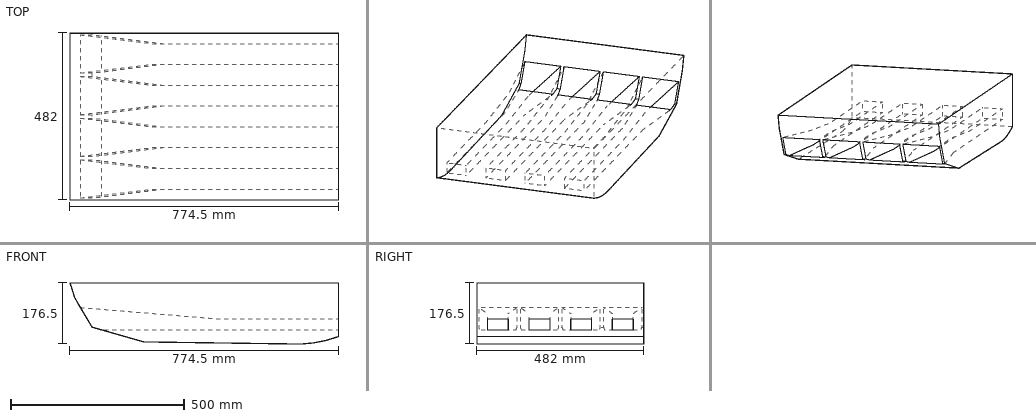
import cadquery as cq

length = 774.5
width = 482.0
height = 176.5
nose_break = (13.0, -42.5)
nose_corner = (63.5, -128.0)
belly_start = (213.0, -170.5)
belly_low = (666.0, -height)
rear_curve_middle = (723.0, -170.0)
rear_height = 155.0

passage_count = 4
passage_pitch = 120.0
mouth_width = 110.0
throat_width = 60.0
taper_depth = 170.5
mouth_roof_z = -71.0
throat_roof_z = -104.5
roof_end_x = 434.0
floor_z = -135.5

face_run = nose_corner[0] - nose_break[0]
face_drop = nose_break[1] - nose_corner[1]
down_face = cq.Vector(face_run, 0, -face_drop)
into_face = cq.Vector(face_drop, 0, face_run)


def make_body():
    profile = (
        cq.Workplane("XZ", origin=(0, width / 2, 0))
        .moveTo(0, 0)
        .lineTo(*nose_break)
        .lineTo(*nose_corner)
        .lineTo(*belly_start)
        .lineTo(*belly_low)
        .threePointArc(rear_curve_middle, (length, -rear_height))
        .lineTo(length, 0)
        .close()
    )
    return profile.extrude(width)


def make_passage(center_y):
    """Intersect the tapering side walls with the roof and floor outline of one passage."""
    half_mouth = mouth_width / 2
    half_throat = throat_width / 2
    wall_plane = cq.Plane(
        origin=(nose_break[0], center_y, nose_break[1]),
        xDir=into_face,
        normal=down_face,
    )
    walls = (
        cq.Workplane(wall_plane)
        .polyline([
            (0, -half_mouth),
            (taper_depth, -half_throat),
            (length, -half_throat),
            (length, half_throat),
            (taper_depth, half_throat),
            (0, half_mouth),
        ])
        .close()
        .extrude(length, both=True)
    )
    mouth_roof_x = nose_break[0] + (nose_break[1] - mouth_roof_z) * face_run / face_drop
    floor_front_x = mouth_roof_x + (mouth_roof_z - floor_z) * face_run / face_drop
    roof_and_floor = (
        cq.Workplane("XZ", origin=(0, width / 2, 0))
        .polyline([
            (mouth_roof_x, mouth_roof_z),
            (roof_end_x, throat_roof_z),
            (length, throat_roof_z),
            (length, floor_z),
            (floor_front_x, floor_z),
        ])
        .close()
        .extrude(width)
    )
    return walls.intersect(roof_and_floor)


result = make_body()
for index in range(passage_count):
    passage_y = (index - (passage_count - 1) / 2) * passage_pitch
    result = result.cut(make_passage(passage_y))